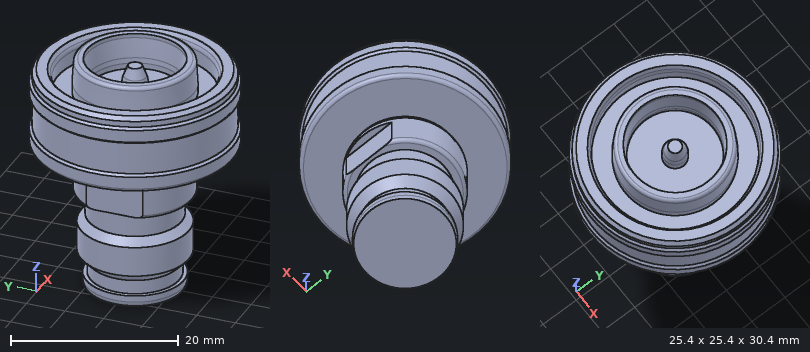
import cadquery as cq
import math

overall_height = 30.4
cutter_overlap = 1.0

lip_end_radius = 6.15
lip_radius = 6.3
lip_round_top = 0.64
lip_bulge = 0.04
lip_top = 1.45
groove_radius = 5.75
groove_top = 3.27
collar_radius = 7.0
collar_bottom = groove_top + (collar_radius - groove_radius)
waist_radius = 6.0
collar_shoulder = 9.4
collar_top = collar_shoulder - (collar_radius - waist_radius)

nut_radius = 7.45
nut_bottom = 12.5
nut_top = 17.8
nut_fillet = 0.5
flat_half_width = 6.5
flat_top = 17.0

neck_radius = 7.0
ring_bottom = 19.0
ring_top = 28.95
band_radius = 12.7
sleeve_radius = 12.35
ring_bottom_fillet = 0.5
ring_top_chamfer = 0.5
band_step = 0.3
lower_band_top = 21.05
upper_band_bottom = 25.8
upper_band_top = 27.4

recess_mouth_radius = 10.5
recess_lip_radius = 10.2
recess_radius = 10.03
recess_chamfer_depth = 0.5
recess_round_depth = 0.62
recess_floor = 25.9

barrel_root_radius = 7.55
barrel_tip_radius = 7.35
barrel_taper_start = 27.2
barrel_fillet = 0.48
bore_mouth_radius = 6.2
bore_taper_end_radius = 5.87
bore_root_radius = 5.8
bore_mouth_depth = 0.5
bore_taper_end = 27.35
bore_step_bottom = 26.67

pin_radius = 1.58
pin_shoulder_radius = 1.4
pin_tip_radius = 0.87
pin_round_start = 27.3
pin_cone_start = 28.1
pin_top = 29.43


def revolve_profile(sketch):
    """Close an (r, z) outline and revolve it about the Z axis."""
    return sketch.close().revolve(360, (0, 0, 0), (0, 1, 0))


def make_tail():
    return revolve_profile(
        cq.Workplane("XZ")
        .lineTo(lip_end_radius, 0)
        .sagittaArc((lip_radius, lip_round_top), -lip_bulge)
        .lineTo(lip_radius, lip_top)
        .lineTo(groove_radius, lip_top)
        .lineTo(groove_radius, groove_top)
        .lineTo(collar_radius, collar_bottom)
        .lineTo(collar_radius, collar_top)
        .lineTo(waist_radius, collar_shoulder)
        .lineTo(waist_radius, nut_bottom)
        .lineTo(0, nut_bottom)
    )


def make_nut():
    nut = (
        cq.Workplane("XY", origin=(0, 0, nut_bottom))
        .circle(nut_radius)
        .extrude(nut_top - nut_bottom)
        .faces("<Z")
        .edges()
        .fillet(nut_fillet)
    )
    flat_depth = nut_radius - flat_half_width + cutter_overlap
    flat_height = flat_top - nut_bottom + cutter_overlap
    for side in (-1, 1):
        cutter = cq.Workplane("XY").box(flat_depth, 2 * nut_radius, flat_height).translate(
            (side * (flat_half_width + flat_depth / 2), 0, flat_top - flat_height / 2)
        )
        nut = nut.cut(cutter)
    return nut


def make_neck():
    return (
        cq.Workplane("XY", origin=(0, 0, nut_top))
        .circle(neck_radius)
        .extrude(ring_bottom - nut_top)
    )


def make_ring():
    arc_offset = ring_bottom_fillet * math.sqrt(0.5)
    fillet_r = band_radius - ring_bottom_fillet
    fillet_z = ring_bottom + ring_bottom_fillet
    return revolve_profile(
        cq.Workplane("XZ")
        .moveTo(0, ring_bottom)
        .lineTo(fillet_r, ring_bottom)
        .threePointArc((fillet_r + arc_offset, fillet_z - arc_offset), (band_radius, fillet_z))
        .lineTo(band_radius, lower_band_top)
        .lineTo(sleeve_radius, lower_band_top + band_step)
        .lineTo(sleeve_radius, upper_band_bottom - band_step)
        .lineTo(band_radius, upper_band_bottom)
        .lineTo(band_radius, upper_band_top)
        .lineTo(sleeve_radius, upper_band_top + band_step)
        .lineTo(sleeve_radius, ring_top - ring_top_chamfer)
        .lineTo(sleeve_radius - ring_top_chamfer, ring_top)
        .lineTo(recess_mouth_radius, ring_top)
        .lineTo(recess_lip_radius, ring_top - recess_chamfer_depth)
        .tangentArcPoint(
            (recess_radius, ring_top - recess_chamfer_depth - recess_round_depth), relative=False
        )
        .lineTo(recess_radius, recess_floor)
        .lineTo(0, recess_floor)
    )


def make_barrel():
    barrel = revolve_profile(
        cq.Workplane("XZ")
        .moveTo(bore_root_radius, recess_floor)
        .lineTo(barrel_root_radius, recess_floor)
        .lineTo(barrel_root_radius, barrel_taper_start)
        .lineTo(barrel_tip_radius, overall_height)
        .lineTo(bore_mouth_radius, overall_height)
        .lineTo(bore_mouth_radius, overall_height - bore_mouth_depth)
        .lineTo(bore_taper_end_radius, bore_taper_end)
        .lineTo(bore_root_radius, bore_step_bottom)
    )
    rim = cq.selectors.RadiusNthSelector(-1)
    return barrel.faces(">Z").edges(rim).fillet(barrel_fillet)


def make_pin():
    return revolve_profile(
        cq.Workplane("XZ")
        .moveTo(0, recess_floor)
        .lineTo(pin_radius, recess_floor)
        .lineTo(pin_radius, pin_round_start)
        .tangentArcPoint((pin_shoulder_radius, pin_cone_start), relative=False)
        .lineTo(pin_tip_radius, pin_top)
        .lineTo(0, pin_top)
    )


result = (
    make_tail()
    .union(make_nut())
    .union(make_neck())
    .union(make_ring())
    .union(make_barrel())
    .union(make_pin())
)